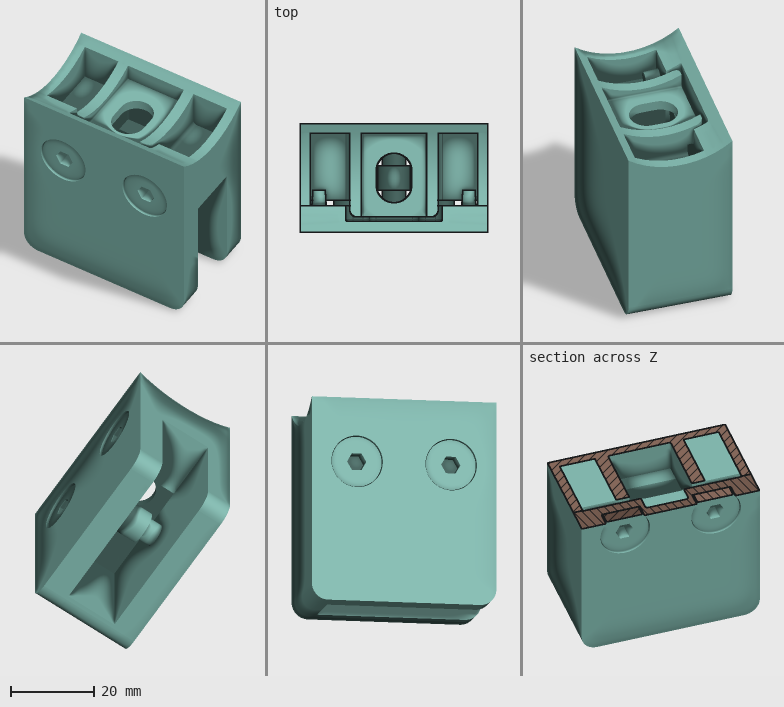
import cadquery as cq
import math


width = 45.0
depth = 26.0
height = 49.45
corner_radius = 3.95
post_radius = 21.2

chamber_half_depth = 6.65
chamber_height = 29.9
side_wall = 2.45
cap_thickness = 4.95

pocket_back_y = 10.7
pocket_floor_z = 37.95
block_front_y = -5.4
rib_outer_x = 10.6
rib_inner_x = 7.85
rib_front_y = -9.35
rib_corner_radius = 1.7
rib_foot_radius = 1.0
trough_floor_z = 43.45
trough_foot_radius = 0.4
trough_plate = 2.55
cavity_corner_radius = 0.45
slot_width = 8.4
slot_length = 11.85

recess_half_width = 11.55
recess_back_y = -10.35
recess_floor_gap = 0.2
recess_corner_radius = 1.65
recess_edge_radius = 0.4
dip_shoulder_x = 7.45
dip_bottom_x = 4.4
peg_x = 17.95
peg_z = 39.75
peg_base_radius = 1.75
peg_tip_radius = 1.5
peg_length = 3.65

screw_x = 11.45
screw_z = 33.95
bore_radius = 6.3
head_radius = 6.1
head_sink = 0.55
head_thickness = 2.95
shank_radius = 3.0
shank_tip_y = 4.95
hex_flats = 4.05
hex_depth = 3.95

pin_z = 19.8
pin_radius = 2.85
sleeve_radius = 4.0
sleeve_length = 5.95

half_width = width / 2
half_depth = depth / 2
pocket_outer_x = half_width - side_wall
cover_back_y = -chamber_half_depth
trough_plate_z = trough_floor_z - trough_plate
recess_floor_z = trough_plate_z - recess_floor_gap
post_z = height + math.sqrt(post_radius**2 - half_depth**2)
head_back_y = -half_depth + head_sink + head_thickness


def box(x0, x1, y0, y1, z0, z1):
    """Block between two opposite corners."""
    return cq.Workplane("XY").box(x1 - x0, y1 - y0, z1 - z0, centered=False).translate((x0, y0, z0))


def rod(radius, y0, y1, x, z):
    """Cylinder along Y between y0 and y1."""
    return cq.Workplane(cq.Solid.makeCylinder(radius, y1 - y0, cq.Vector(x, y0, z), cq.Vector(0, 1, 0)))


def envelope(y0, y1):
    """Slice of the outer block, with rounded bottom corners and the post saddle on top."""
    block = box(-half_width, half_width, y0, y1, 0, height)
    block = block.edges("|Y and <Z").fillet(corner_radius)
    post = cq.Workplane("YZ").center(0, post_z).circle(post_radius).extrude(half_width, both=True)
    return block.cut(post)


def side_pocket():
    """Pocket between a side wall and a rib on +X, open to the front, with a rounded rib foot."""
    pocket = box(rib_outer_x, pocket_outer_x, cover_back_y, pocket_back_y, pocket_floor_z, height)
    return pocket.edges("|Y and <X and <Z").fillet(rib_foot_radius)


def saddle_ribs():
    """Front part of the two ribs and of the trough plate, which reaches into the cover."""
    ribs = box(-rib_outer_x, rib_outer_x, rib_front_y, block_front_y, trough_plate_z, height)
    return ribs.edges("|Z and <Y").fillet(rib_corner_radius)


def make_housing():
    body = envelope(cover_back_y, half_depth)
    body = body.cut(box(-half_width, half_width, cover_back_y, chamber_half_depth, 0, chamber_height))
    body = body.cut(box(-pocket_outer_x, pocket_outer_x, cover_back_y, block_front_y, 0, height))
    pocket = side_pocket()
    body = body.cut(pocket).cut(pocket.mirror("YZ"))
    body = body.union(saddle_ribs().intersect(envelope(-half_depth, half_depth)))
    trough = box(-rib_inner_x, rib_inner_x, -half_depth, pocket_back_y, trough_floor_z, height)
    body = body.cut(trough.edges("|Y and <Z").fillet(trough_foot_radius))
    cavity = box(-rib_inner_x, rib_inner_x, cover_back_y, pocket_back_y, chamber_height, trough_plate_z)
    body = body.cut(cavity.edges("|Z and >Y").fillet(cavity_corner_radius))
    slot = cq.Workplane("XY").workplane(offset=trough_plate_z).slot2D(slot_length, slot_width, 90)
    body = body.cut(slot.extrude(trough_plate))
    for side in (-1, 1):
        body = body.cut(rod(shank_radius, cover_back_y, shank_tip_y, side * screw_x, screw_z))
    return body


def cover_recess():
    """Recess for the ribs: its floor dips between the screw heads in two opposite arcs."""
    bend_radius = (dip_shoulder_x - dip_bottom_x) / 2
    bend_x = dip_bottom_x + bend_radius
    bend_z = recess_floor_z - bend_radius
    dip_z = recess_floor_z - 2 * bend_radius
    bend_offset = bend_radius * math.sqrt(0.5)
    corner_offset = recess_corner_radius * (1 - math.sqrt(0.5))
    corner_z = recess_floor_z + recess_corner_radius
    outline = (
        cq.Workplane("XZ", origin=(0, cover_back_y, 0))
        .moveTo(0, dip_z)
        .lineTo(dip_bottom_x, dip_z)
        .threePointArc((dip_bottom_x + bend_offset, bend_z - bend_offset), (bend_x, bend_z))
        .threePointArc((dip_shoulder_x - bend_offset, bend_z + bend_offset), (dip_shoulder_x, recess_floor_z))
        .lineTo(recess_half_width - recess_corner_radius, recess_floor_z)
        .threePointArc((recess_half_width - corner_offset, recess_floor_z + corner_offset),
                       (recess_half_width, corner_z))
        .lineTo(recess_half_width, height)
        .lineTo(0, height)
        .close()
    )
    half = outline.extrude(cover_back_y - recess_back_y)
    return half.union(half.mirror("YZ")).faces("<Y").edges("not >Z").fillet(recess_edge_radius)


def make_cover():
    plate = envelope(-half_depth, cover_back_y).cut(cover_recess())
    for side in (-1, 1):
        plate = plate.cut(rod(bore_radius, -half_depth, head_back_y, side * screw_x, screw_z))
        plate = plate.cut(rod(shank_radius, -half_depth, cover_back_y, side * screw_x, screw_z))
        peg = cq.Solid.makeCone(peg_base_radius, peg_tip_radius, peg_length,
                                cq.Vector(side * peg_x, cover_back_y, peg_z), cq.Vector(0, 1, 0))
        plate = plate.union(cq.Workplane(peg))
    return plate


def make_screw(x):
    """Flat-headed socket screw along Y."""
    head_face_y = -half_depth + head_sink
    screw = rod(head_radius, head_face_y, head_back_y, x, screw_z)
    screw = screw.union(rod(shank_radius, head_back_y, shank_tip_y, x, screw_z))
    hex_corners = hex_flats / math.cos(math.pi / 6)
    socket = cq.Workplane("XZ", origin=(x, head_face_y, screw_z)).polygon(6, hex_corners)
    return screw.cut(socket.extrude(-hex_depth))


def make_end_cap():
    """Cap that closes the -X end of the glass chamber, flush with the side wall."""
    cap = box(-half_width, cap_thickness - half_width,
              -chamber_half_depth, chamber_half_depth, 0, chamber_height)
    return cap.intersect(envelope(-half_depth, half_depth))


def make_sleeve():
    sleeve = rod(sleeve_radius, -sleeve_length / 2, sleeve_length / 2, 0, pin_z)
    return sleeve.cut(rod(pin_radius, -sleeve_length / 2, sleeve_length / 2, 0, pin_z))


housing = make_housing()
cover = make_cover()
screws = [make_screw(side * screw_x) for side in (-1, 1)]
end_cap = make_end_cap()
safety_pin = rod(pin_radius, -chamber_half_depth, chamber_half_depth, 0, pin_z)
sleeve = make_sleeve()

result = cq.Compound.makeCompound([
    housing.val(),
    cover.val(),
    *[screw.val() for screw in screws],
    end_cap.val(),
    safety_pin.val(),
    sleeve.val(),
])